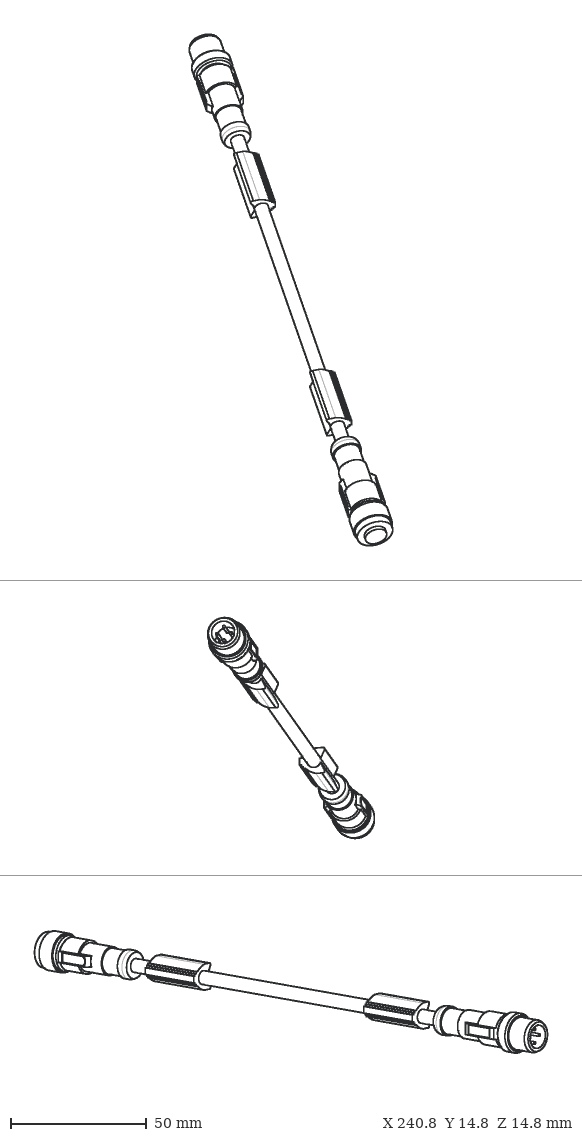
import cadquery as cq
import math

TOTAL_LENGTH = 240.8
CABLE_RADIUS = 2.6

NUT_RADIUS = 7.4
NECK_RADIUS = 5.0
GRIP_RADIUS = 6.3
BODY_RADIUS = 5.4
TUBE_RADIUS = 4.9
COLLAR_RADIUS = 5.5
COLLAR_ROUND_LENGTH = 1.8

THREAD_RADIUS = 6.1
THREAD_LENGTH = 8.9
THREAD_CHAMFER_LENGTH = 1.3
THREAD_CHAMFER_DEPTH = 0.6
PLUG_NUT_END = 13.8
PLUG_NUT_CHAMFER = 0.7
PLUG_GRIP_START = 15.3
PLUG_GRIP_END = 24.2
PLUG_BODY_END = 34.4
PLUG_COLLAR_START = 42.8
PLUG_COLLAR_END = 46.7

CAVITY_RADIUS = 4.3
CAVITY_DEPTH = 8.0
PIN_COUNT = 4
PIN_RADIUS = 0.5
PIN_CIRCLE_RADIUS = 2.6
PIN_SETBACK = 1.5
KEY_RADIUS = 0.9
KEY_ANGLE = math.radians(-45)

SOCKET_COLLAR_START = 196.2
SOCKET_COLLAR_END = 200.1
SOCKET_BODY_START = 208.0
SOCKET_GRIP_START = 218.8
SOCKET_GRIP_END = 227.7
SOCKET_NUT_START = 229.0
SOCKET_NUT_FULL_START = 230.4
SOCKET_NUT_FULL_END = 236.6
SOCKET_NUT_END = 239.4
SOCKET_NUT_RIM_RADIUS = 6.8
SOCKET_FACE_RADIUS = 4.1

PAD_REACH = 7.0
PAD_HALF_WIDTH = 2.1
PLUG_PAD_LENGTH = 15.4
SOCKET_PAD_LENGTH = 14.6
PAD_RAMP_LENGTH = 1.6
POCKET_HALF_WIDTH = 1.8
POCKET_DEPTH = 0.4
PLUG_POCKET = (17.6, 27.8)
SOCKET_POCKET = (214.8, 225.8)
SOCKET_POCKET_CHAMFER = 0.9

MARKER_LENGTH = 23.6
MARKER_STARTS = (56.4, 163.0)
MARKER_HALF_HEIGHT = 4.9
MARKER_LIP_REACH = 4.0
MARKER_LIP_TIP_HEIGHT = 3.9
MARKER_THROAT = 2.2
MARKER_FLAT_START = 0.7
MARKER_FLAT_END = 3.0
MARKER_CROWN_BULGE = 0.35
MARKER_BACK_REACH = 5.4
MARKER_STEP = 0.7
MARKER_STEP_COUNT = 3
MARKER_BACK_HALF_HEIGHT = 1.3


def revolved(profile):
    """Revolve an (x, radius) outline, closed along the X axis."""
    first_x = profile[0][0]
    last_x = profile[-1][0]
    outline = [(first_x, 0), *profile, (last_x, 0)]
    return cq.Workplane("XY").polyline(outline).close().revolve(360, (0, 0, 0), (1, 0, 0))


def plug():
    """Plug connector: threaded end, nut, grip, body and tube."""
    nut_edge_radius = NUT_RADIUS - PLUG_NUT_CHAMFER
    return revolved([
        (0, THREAD_RADIUS - THREAD_CHAMFER_DEPTH),
        (THREAD_CHAMFER_LENGTH, THREAD_RADIUS),
        (THREAD_LENGTH, THREAD_RADIUS),
        (THREAD_LENGTH, nut_edge_radius),
        (THREAD_LENGTH + PLUG_NUT_CHAMFER, NUT_RADIUS),
        (PLUG_NUT_END - PLUG_NUT_CHAMFER, NUT_RADIUS),
        (PLUG_NUT_END, nut_edge_radius),
        (PLUG_NUT_END, NECK_RADIUS),
        (PLUG_GRIP_START, NECK_RADIUS),
        (PLUG_GRIP_START, GRIP_RADIUS),
        (PLUG_GRIP_END, GRIP_RADIUS),
        (PLUG_GRIP_END, BODY_RADIUS),
        (PLUG_BODY_END, BODY_RADIUS),
        (PLUG_BODY_END, TUBE_RADIUS),
        (PLUG_COLLAR_END, TUBE_RADIUS),
    ])


def socket():
    """Socket connector: tube, body, grip, stepped nut and contact face."""
    return revolved([
        (SOCKET_COLLAR_START, TUBE_RADIUS),
        (SOCKET_BODY_START, TUBE_RADIUS),
        (SOCKET_BODY_START, BODY_RADIUS),
        (SOCKET_GRIP_START, BODY_RADIUS),
        (SOCKET_GRIP_START, GRIP_RADIUS),
        (SOCKET_GRIP_END, GRIP_RADIUS),
        (SOCKET_GRIP_END, NECK_RADIUS),
        (SOCKET_NUT_START, NECK_RADIUS),
        (SOCKET_NUT_START, SOCKET_NUT_RIM_RADIUS),
        (SOCKET_NUT_FULL_START, SOCKET_NUT_RIM_RADIUS),
        (SOCKET_NUT_FULL_START, NUT_RADIUS),
        (SOCKET_NUT_FULL_END, NUT_RADIUS),
        (SOCKET_NUT_FULL_END, SOCKET_NUT_RIM_RADIUS),
        (SOCKET_NUT_END, SOCKET_NUT_RIM_RADIUS),
        (SOCKET_NUT_END, SOCKET_FACE_RADIUS),
        (TOTAL_LENGTH, SOCKET_FACE_RADIUS),
    ])


def rod(x_start, x_end, radius, y=0, z=0):
    """Cylinder parallel to X."""
    return cq.Workplane("YZ", origin=(x_start, y, z)).circle(radius).extrude(x_end - x_start)


def collar(tube_side_x, cable_side_x):
    """Collar whose rim curves smoothly down to the tube radius at the cable side."""
    direction = math.copysign(1, cable_side_x - tube_side_x)
    round_start_x = cable_side_x - direction * COLLAR_ROUND_LENGTH
    return (
        cq.Workplane("XY")
        .moveTo(tube_side_x, 0)
        .lineTo(tube_side_x, COLLAR_RADIUS)
        .lineTo(round_start_x, COLLAR_RADIUS)
        .tangentArcPoint((cable_side_x, TUBE_RADIUS), relative=False)
        .lineTo(cable_side_x, 0)
        .close()
        .revolve(360, (0, 0, 0), (1, 0, 0))
    )


def with_contacts(part):
    """Open the cavity in the plug face and add the contact pins and coding key."""
    part = part.cut(rod(0, CAVITY_DEPTH, CAVITY_RADIUS))
    for index in range(PIN_COUNT):
        angle = 2 * math.pi * index / PIN_COUNT
        pin_y = PIN_CIRCLE_RADIUS * math.cos(angle)
        pin_z = PIN_CIRCLE_RADIUS * math.sin(angle)
        pin_end = CAVITY_DEPTH + PIN_RADIUS
        part = part.union(rod(PIN_SETBACK, pin_end, PIN_RADIUS, pin_y, pin_z))
    key_circle_radius = CAVITY_RADIUS - KEY_RADIUS / 2
    key_y = key_circle_radius * math.cos(KEY_ANGLE)
    key_z = key_circle_radius * math.sin(KEY_ANGLE)
    key_end = CAVITY_DEPTH + KEY_RADIUS
    return part.union(rod(PIN_SETBACK, key_end, KEY_RADIUS, key_y, key_z))


def grip_pads(grip_x, signed_length):
    """Bar across the connector whose ends are the two pads, ramped on the cable side."""
    tip_x = grip_x + signed_length
    ramp_x = tip_x - math.copysign(PAD_RAMP_LENGTH, signed_length)
    outline = [
        (grip_x, PAD_REACH),
        (ramp_x, PAD_REACH),
        (tip_x, BODY_RADIUS),
        (tip_x, -BODY_RADIUS),
        (ramp_x, -PAD_REACH),
        (grip_x, -PAD_REACH),
    ]
    return cq.Workplane("XY").polyline(outline).close().extrude(PAD_HALF_WIDTH, both=True)


def pad_pockets(x_range, corner_chamfer=0):
    """Shallow rectangular pockets in both pads, optionally chamfered at the cable end."""
    x_start, x_end = x_range
    floor_y = PAD_REACH - POCKET_DEPTH
    pockets = cq.Workplane("XY")
    for side in (-1, 1):
        pocket = cq.Workplane("XY").box(
            x_end - x_start, POCKET_DEPTH, 2 * POCKET_HALF_WIDTH, centered=(False, True, True)
        )
        if corner_chamfer:
            pocket = pocket.edges("|Y and <X").chamfer(corner_chamfer)
        pocket_y = side * (floor_y + POCKET_DEPTH / 2)
        pockets = pockets.add(pocket.translate((x_start, pocket_y, 0)))
    return pockets.combine()


def marker(x_start):
    """Cable marker: rounded sleeve, stepped back on +Y and V-shaped snap mouth on -Y."""
    steps = []
    for index in range(MARKER_STEP_COUNT):
        inset = MARKER_STEP * (MARKER_STEP_COUNT - 1 - index)
        step_y = MARKER_BACK_REACH - inset
        step_z = MARKER_BACK_HALF_HEIGHT + inset
        steps.append((step_y - MARKER_STEP, step_z))
        steps.append((step_y, step_z))
    shoulder_y, shoulder_z = steps[0]
    crown_y = (shoulder_y - MARKER_FLAT_START) / 2
    crown_z = (shoulder_z + MARKER_HALF_HEIGHT) / 2 + MARKER_CROWN_BULGE
    half = (
        cq.Workplane("YZ", origin=(x_start, 0, 0))
        .moveTo(-MARKER_THROAT, 0)
        .lineTo(-MARKER_LIP_REACH, MARKER_LIP_TIP_HEIGHT)
        .tangentArcPoint((-MARKER_FLAT_END, MARKER_HALF_HEIGHT), relative=False)
        .lineTo(-MARKER_FLAT_START, MARKER_HALF_HEIGHT)
        .threePointArc((crown_y, crown_z), (shoulder_y, shoulder_z))
    )
    for point in steps[1:]:
        half = half.lineTo(*point)
    half = half.lineTo(MARKER_BACK_REACH, 0).close().extrude(MARKER_LENGTH)
    return half.union(half.mirror("XY"))


def cable_assembly():
    """Both connectors joined by the cable, with the markers snapped onto it."""
    part = plug().union(collar(PLUG_COLLAR_START, PLUG_COLLAR_END))
    part = part.union(grip_pads(PLUG_GRIP_START, PLUG_PAD_LENGTH))
    part = part.cut(pad_pockets(PLUG_POCKET))
    part = with_contacts(part)
    part = part.union(socket()).union(collar(SOCKET_COLLAR_END, SOCKET_COLLAR_START))
    part = part.union(grip_pads(SOCKET_GRIP_END, -SOCKET_PAD_LENGTH))
    part = part.cut(pad_pockets(SOCKET_POCKET, SOCKET_POCKET_CHAMFER))
    part = part.union(rod(PLUG_COLLAR_START, SOCKET_COLLAR_END, CABLE_RADIUS))
    for x_start in MARKER_STARTS:
        part = part.union(marker(x_start))
    return part


result = cable_assembly()